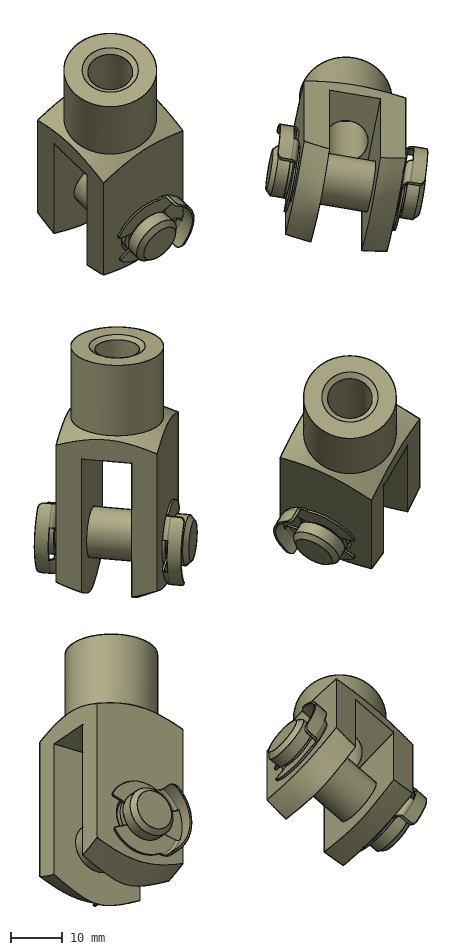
import cadquery as cq
import math


fork_height = 52.0
block_width = 20.0
collar_diameter = 18.0
collar_length = 15.0
slot_width = 10.0
slot_depth = 32.0
tip_cone_angle = 30.0
shoulder_cone_angle = 26.5
bore_diameter = 8.65
countersink_diameter = 10.85
countersink_depth = 0.6
pin_hole_chamfer = 0.5

pin_height = 12.0
pin_diameter = 10.0
pin_length = 30.0
pin_chamfer = 1.0
groove_depth = 0.95
groove_width = 1.05
groove_start = 10.5

sheet = 0.4
plate_radius = 7.7
tab_radius = 9.05
tab_reach = 4.0
bend_outer_radius = 1.25
bend_inner_radius = 0.5
tab_corner_radius = 1.0
leg_angle = 14.0
leg_outer_offset = 5.9
leg_inner_offset = 1.25
mouth_angle = 21.0
mouth_offset = 0.9
mouth_corner_radius = 0.4
far_clip_turn = 3.3

block_top = fork_height - collar_length
tip_slope = math.tan(math.radians(tip_cone_angle))
shoulder_slope = math.tan(math.radians(shoulder_cone_angle))
corner_radius = block_width / math.sqrt(2)
envelope_radius = 1.05 * corner_radius
pin_radius = pin_diameter / 2
groove_radius = pin_radius - groove_depth


def make_turned_envelope():
    """Solid of revolution that gives the square block its conical ends."""
    tip_radius = slot_width / 2
    collar_radius = collar_diameter / 2
    lower_rim = (envelope_radius - tip_radius) * tip_slope
    upper_rim = block_top - (envelope_radius - collar_radius) * shoulder_slope
    return (
        cq.Workplane("XZ")
        .moveTo(0, 0)
        .lineTo(tip_radius, 0)
        .lineTo(envelope_radius, lower_rim)
        .lineTo(envelope_radius, upper_rim)
        .lineTo(collar_radius, block_top)
        .lineTo(0, block_top)
        .close()
        .revolve(360, (0, 0, 0), (0, 1, 0))
    )


def make_pin_hole():
    """Cutter for the cross hole, countersunk at both outer faces."""
    half_width = block_width / 2
    mouth_radius = pin_radius + pin_hole_chamfer
    return (
        cq.Workplane("XY")
        .moveTo(-half_width, 0)
        .lineTo(-half_width, mouth_radius)
        .lineTo(-half_width + pin_hole_chamfer, pin_radius)
        .lineTo(half_width - pin_hole_chamfer, pin_radius)
        .lineTo(half_width, mouth_radius)
        .lineTo(half_width, 0)
        .close()
        .revolve(360, (0, 0, 0), (1, 0, 0))
        .translate((0, 0, pin_height))
    )


def make_bore():
    """Cutter for the axial bore, countersunk at the top of the collar."""
    bore_radius = bore_diameter / 2
    return (
        cq.Workplane("XZ")
        .moveTo(0, 0)
        .lineTo(bore_radius, 0)
        .lineTo(bore_radius, fork_height - countersink_depth)
        .lineTo(countersink_diameter / 2, fork_height)
        .lineTo(0, fork_height)
        .close()
        .revolve(360, (0, 0, 0), (0, 1, 0))
    )


def make_fork():
    block = cq.Workplane("XY").rect(block_width, block_width).extrude(block_top)
    collar = (
        cq.Workplane("XY", origin=(0, 0, block_top))
        .circle(collar_diameter / 2)
        .extrude(collar_length)
    )
    slot = cq.Workplane("XY").rect(slot_width, 2 * block_width).extrude(slot_depth)
    fork = block.intersect(make_turned_envelope()).union(collar).cut(slot)
    return fork.cut(make_bore()).cut(make_pin_hole())


def make_pin():
    pin = (
        cq.Workplane("YZ", origin=(-pin_length / 2, 0, pin_height))
        .circle(pin_radius)
        .extrude(pin_length)
        .faces("<X or >X")
        .chamfer(pin_chamfer)
    )
    for groove_x in (groove_start, -groove_start - groove_width):
        groove = (
            cq.Workplane("YZ", origin=(groove_x, 0, pin_height))
            .circle(2 * pin_radius)
            .circle(groove_radius)
            .extrude(groove_width)
        )
        pin = pin.cut(groove)
    return pin



def make_clip_wedge(offset, angle, y_end, depth):
    """Wedge around the Y axis: half-height `offset` at Y = 0, growing by `angle` toward Y = y_end."""
    end_offset = offset + abs(y_end) * math.tan(math.radians(angle))
    return (
        cq.Workplane("YZ")
        .polyline([(0, -offset), (y_end, -end_offset), (y_end, end_offset), (0, offset)])
        .close()
        .extrude(depth)
    )


def make_clip_plate():
    """Flat ring with a flared mouth on the -Y side."""
    ring = cq.Workplane("YZ").circle(plate_radius).circle(groove_radius).extrude(sheet)
    mouth = make_clip_wedge(mouth_offset, mouth_angle, -2 * plate_radius, sheet)
    mouth_corners = cq.selectors.BoxSelector(
        (-sheet, -plate_radius, -plate_radius), (2 * sheet, -groove_radius - sheet, plate_radius)
    )
    return ring.cut(mouth).edges("|X").edges(mouth_corners).fillet(mouth_corner_radius)


def make_clip_tab():
    """Flange that bends from the plate into a curved tab, cut to the width of the legs."""
    inner_radius = tab_radius - sheet
    outer_bend_start = tab_radius - bend_outer_radius
    inner_bend_start = inner_radius - bend_inner_radius
    inner_bend_end = sheet + bend_inner_radius
    far = math.sqrt(0.5)
    near = 1 - far
    flange = (
        cq.Workplane("XY")
        .moveTo(0, groove_radius)
        .lineTo(0, outer_bend_start)
        .threePointArc(
            (bend_outer_radius * near, outer_bend_start + bend_outer_radius * far),
            (bend_outer_radius, tab_radius),
        )
        .lineTo(tab_reach, tab_radius)
        .lineTo(tab_reach, inner_radius)
        .lineTo(inner_bend_end, inner_radius)
        .threePointArc(
            (sheet + bend_inner_radius * near, inner_bend_start + bend_inner_radius * far),
            (sheet, inner_bend_start),
        )
        .lineTo(sheet, groove_radius)
        .close()
        .revolve(360, (0, 0, 0), (1, 0, 0))
    )
    legs = make_clip_wedge(leg_outer_offset, leg_angle, 2 * tab_radius, tab_reach)
    legs = legs.faces(">Z or <Z").edges(">X").fillet(tab_corner_radius)
    return flange.intersect(legs)


def make_clip():
    """Whole clip; the window between the legs ends where the tab becomes straight."""
    window = make_clip_wedge(leg_inner_offset, leg_angle, 2 * tab_radius, bend_outer_radius)
    return make_clip_plate().union(make_clip_tab()).cut(window)


def place_clip(side, turn):
    """Seat a clip against the inner wall of the groove on the given side (+1 or -1) of the pin."""
    clip = make_clip().rotate((0, 0, 0), (1, 0, 0), turn)
    if side < 0:
        clip = clip.mirror("YZ")
    return clip.translate((side * groove_start, 0, pin_height))


fork = make_fork()
pin = make_pin()
clips = [place_clip(side, turn) for side, turn in ((-1, 0.0), (1, far_clip_turn))]

result = cq.Compound.makeCompound([fork.val(), pin.val(), *[clip.val() for clip in clips]])